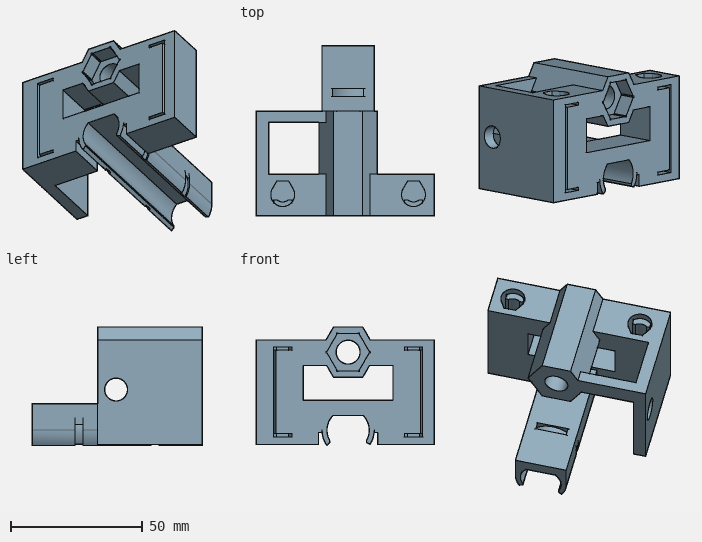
import cadquery as cq
import math

width = 68.0
height = 40.0
depth = 40.0
tail_depth = 65.0
front_depth = 15.9
side_wall = 4.8
back_beam = 4.3
back_beam_height = 7.0
axis_x = 35.1

hex_top = 45.0
hex_radius = 11.15
hex_z = hex_top - hex_radius * math.cos(math.pi / 6)
nut_radius = 8.2
nut_depth = 6.5
nut_corner_relief = 0.3
rod_hole_dia = 9.05

window_width = 34.15
window_bottom = 17.0
window_top = 30.2

clip_z = 5.5
clip_outer = 10.0
clip_inner = 8.0
clip_bottom = clip_z - clip_outer
clip_top = 15.65
clip_roof = 11.1
left_lip = (-6.95, 0.8)
left_tip = (-8.1, -0.4)
right_lip = (7.0, 0.75)
right_tip = (8.6, 0.1)
notch_width = 22.6
notch_height = 4.6

tie_width = 3.0
tie_front_edges = (16.6, 45.6)
tie_floor_radius = 9.4
tie_roof_z = 7.6

side_hole_dia = 8.65
side_hole_y = 32.9
side_hole_z = 21.0

socket_offset = 25.0
socket_y = 8.1
socket_radius = 4.55
socket_flat_y = 13.25
socket_flat_width = 4.55
socket_floor = 3.0
tongue_bottom = 4.15
tongue_top = 36.1
slit_top = 37.2
slit_half_width = 3.5
tongue_back_y = 6.05
tongue_taper = 0.9
grip_radius = 3.5
grip_y = 8.8


def box(x0, x1, y0, y1, z0, z1):
    """Axis-aligned block between opposite corners."""
    corner = cq.Workplane("XY", origin=(x0, y0, z0))
    return corner.box(x1 - x0, y1 - y0, z1 - z0, centered=False)


def centred_box(box_width, y0, y1, z0, z1):
    """Block centred on the axis plane of the part."""
    return box(axis_x - box_width / 2, axis_x + box_width / 2, y0, y1, z0, z1)


def along_y(x, z, y0):
    """Sketch plane at Y = y0 with local axes X and Z; negative extrusion runs toward +Y."""
    return cq.Workplane("XZ", origin=(x, y0, z))


def hexagon(radius, y0, y1):
    """Hexagonal prism on the rod axis, flats up and down."""
    return along_y(axis_x, hex_z, y0).polygon(6, 2 * radius).extrude(y0 - y1)


def cylinder_y(radius, z, y0, y1):
    return along_y(axis_x, z, y0).circle(radius).extrude(y0 - y1)


def nut_pocket():
    pocket = hexagon(nut_radius, 0, nut_depth)
    reliefs = (
        along_y(axis_x, hex_z, 0)
        .polarArray(nut_radius, 0, 360, 6)
        .circle(nut_corner_relief)
        .extrude(-nut_depth)
    )
    return pocket.union(reliefs)


def frame():
    """Front block, left wall and top back beam."""
    front = box(0, width, 0, front_depth, 0, height)
    wall = box(0, side_wall, 0, depth, 0, height)
    beam = box(0, axis_x, depth - back_beam, depth, height - back_beam_height, height)
    window = centred_box(window_width, 0, front_depth, window_bottom, window_top)
    notch = centred_box(notch_width, 0, front_depth, 0, notch_height)
    clearance = centred_box(2 * clip_outer, 0, front_depth, 0, clip_z)
    bore = (
        cq.Workplane("YZ", origin=(0, side_hole_y, side_hole_z))
        .circle(side_hole_dia / 2)
        .extrude(side_wall)
    )
    front = front.cut(window).cut(notch).cut(clearance)
    return front.union(wall).union(beam).cut(bore)


def clip():
    """Block with a rounded underside, running the full length of the part."""
    block = centred_box(2 * clip_outer, 0, tail_depth, clip_z, clip_top)
    return block.union(cylinder_y(clip_outer, clip_z, 0, tail_depth))


def clip_bore():
    """Round bore under a flat roof, open at the bottom between the two arm ends."""
    bore = cylinder_y(clip_inner, clip_z, 0, tail_depth)
    bore = bore.intersect(centred_box(2 * clip_inner, 0, tail_depth, clip_bottom, clip_roof))
    mouth = (
        along_y(axis_x, 0, 0)
        .polyline([
            (left_lip[0], clip_z), left_lip, left_tip, (left_tip[0], clip_bottom),
            (right_tip[0], clip_bottom), right_tip, right_lip, (right_lip[0], clip_z),
        ])
        .close()
        .extrude(-tail_depth)
    )
    return bore.union(mouth)


def tie_channel(y0):
    """Groove that opens on both sides of the clip and passes as a tunnel under its top corners."""
    y1 = y0 + tie_width
    arch = cylinder_y(clip_outer, tie_roof_z, y0, y1)
    legs = centred_box(2 * clip_outer, y0, y1, clip_bottom, tie_roof_z)
    return arch.union(legs).cut(cylinder_y(tie_floor_radius, clip_z, y0, y1))


def socket(x):
    """Blind vertical hole with a flat-topped point toward the back."""
    sketch_plane = cq.Workplane("XY", origin=(x, socket_y, socket_floor))
    socket_depth = height - socket_floor
    half_flat = socket_flat_width / 2
    flat_y = socket_flat_y - socket_y
    corner_distance = math.hypot(half_flat, flat_y)
    angle = math.atan2(flat_y, half_flat) - math.acos(socket_radius / corner_distance)
    tangent_x = socket_radius * math.cos(angle)
    tangent_y = socket_radius * math.sin(angle)
    return (
        sketch_plane
        .moveTo(tangent_x, tangent_y)
        .lineTo(half_flat, flat_y)
        .lineTo(-half_flat, flat_y)
        .lineTo(-tangent_x, tangent_y)
        .threePointArc((0, -socket_radius), (tangent_x, tangent_y))
        .close()
        .extrude(socket_depth)
    )


def slit(x):
    """Opening from the front face into the socket, which the tongue then fills in part."""
    return box(x - slit_half_width, x + slit_half_width, 0, socket_y, socket_floor, slit_top)


def tongue(x, side):
    """Locking tongue hinged toward the middle; its free outer flank widens toward the socket."""
    outer = side * slit_half_width
    inner = -outer
    front_outer = outer - side * tongue_taper
    blank = (
        cq.Workplane("XY", origin=(x, 0, tongue_bottom))
        .polyline([(inner, 0), (front_outer, 0), (outer, tongue_back_y), (inner, tongue_back_y)])
        .close()
        .extrude(tongue_top - tongue_bottom)
    )
    grip = (
        cq.Workplane("XY", origin=(x, grip_y, tongue_bottom))
        .circle(grip_radius)
        .extrude(tongue_top - tongue_bottom)
    )
    return blank.cut(grip)


result = frame().union(hexagon(hex_radius, 0, depth)).union(clip()).cut(clip_bore())
result = result.cut(nut_pocket()).cut(cylinder_y(rod_hole_dia / 2, hex_z, 0, depth))
for tie_y in tie_front_edges:
    result = result.cut(tie_channel(tie_y))
for side in (-1, 1):
    socket_x = axis_x + side * socket_offset
    result = result.cut(socket(socket_x)).cut(slit(socket_x)).union(tongue(socket_x, side))